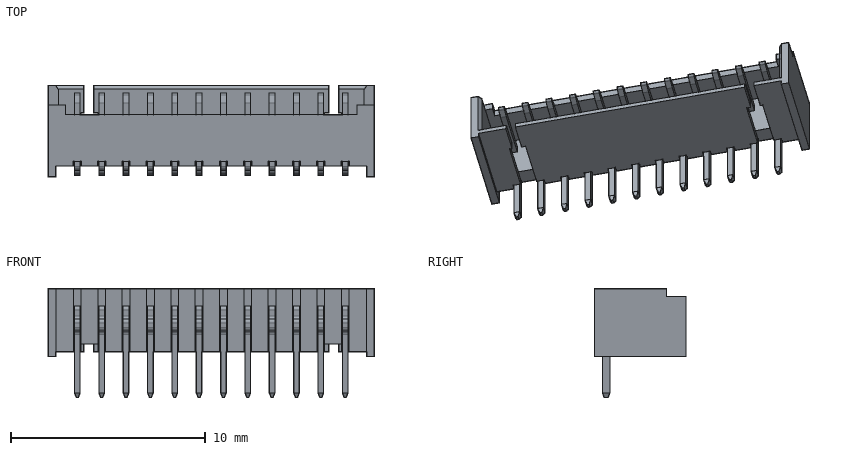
import cadquery as cq

LENGTH = 16.75
DEPTH = 4.7
HEIGHT = 3.5
OVERALL_HEIGHT = 5.6
PLATE_THICKNESS = 0.4
REAR_FACE_Y = 0.55
REAR_WALL = 0.75
FLOOR_BOTTOM = 0.25
FLOOR_THICKNESS = 0.4
FLOOR_TOP = FLOOR_BOTTOM + FLOOR_THICKNESS
ROOF_THICKNESS = 0.4
ROOF_BOTTOM = HEIGHT - ROOF_THICKNESS
SIDE_WALL = 0.525
CAVITY_LENGTH = LENGTH - 2 * SIDE_WALL

ROOF_END_SETBACK = 1.0
ROOF_MIDDLE_SETBACK = 1.5
ROOF_TAB_WIDTH = 0.9

LEAD_IN_DEPTH = 0.2
LEAD_IN_RISE = 0.15

PIN_COUNT = 12
PITCH = 1.25
PIN_WIDTH = 0.3
PIN_THICKNESS = 0.4
PIN_SPAN = (PIN_COUNT - 1) * PITCH
SLOT_WIDTH = 0.4
SLOT_DEPTH = 0.25
SLOT_BACK_Y = REAR_FACE_Y + SLOT_DEPTH

KEYWAY_WIDTH = 0.5
KEYWAY_OUTWARD_SHIFT = 0.04
RELIEF_X = (PIN_SPAN - PITCH) / 2
RELIEF_WIDTH = PITCH - SLOT_WIDTH
KEYWAY_X = RELIEF_X + KEYWAY_OUTWARD_SHIFT
KEYWAY_LENGTH = 1.42
RELIEF_END_Y = DEPTH - KEYWAY_LENGTH

PIN_TOP = 2.6
PIN_BOTTOM = HEIGHT - OVERALL_HEIGHT
LEG_BACK_Y = SLOT_BACK_Y
LEG_FRONT_Y = LEG_BACK_Y - PIN_THICKNESS
BEND_FRONT_Y = 0.34
BEND_RADIUS = 0.2
KINK_TOP = 2.08
KINK_HOLLOW_RADIUS = 0.14
KINK_FRONT_Y = 0.08
KINK_FLAT = 0.25
KINK_SHOULDER_HEIGHT = 0.2
KINK_RETURN_HEIGHT = 0.36
FOOT_TAPER = 0.25
FOOT_CHAMFER = 0.1
TIP_SETBACK = 0.4
TIP_Y = DEPTH - TIP_SETBACK
TIP_TAPER_LENGTH = 0.4
TIP_TAPER_DROP = 0.1
TIP_RADIUS = PIN_THICKNESS / 2 - TIP_TAPER_DROP


def box(x_range, y_range, z_range):
    """Axis-aligned box between the given limits."""
    x0, x1 = x_range
    y0, y1 = y_range
    z0, z1 = z_range
    return cq.Workplane("XY").box(x1 - x0, y1 - y0, z1 - z0, centered=False).translate((x0, y0, z0))


def centred_box(x_centre, width, y_range, z_range):
    """Axis-aligned box of the given X width about x_centre."""
    return box((x_centre - width / 2, x_centre + width / 2), y_range, z_range)


def mouth_lead_in():
    """Flared rim of the cavity mouth, widest at the open face; runs up past the roof."""
    return (
        cq.Workplane("XZ", origin=(0, DEPTH, 0))
        .center(0, (FLOOR_TOP + HEIGHT) / 2)
        .rect(CAVITY_LENGTH + 2 * LEAD_IN_RISE, HEIGHT - FLOOR_TOP + 2 * LEAD_IN_RISE)
        .workplane(offset=LEAD_IN_DEPTH)
        .rect(CAVITY_LENGTH, HEIGHT - FLOOR_TOP)
        .loft(ruled=True)
    )


def housing():
    """Shrouded shell open toward +Y, without the contact slots."""
    half = LENGTH / 2
    shell = centred_box(0, LENGTH, (REAR_FACE_Y, DEPTH), (FLOOR_BOTTOM, HEIGHT))
    for x0, x1 in ((-half, PLATE_THICKNESS - half), (half - PLATE_THICKNESS, half)):
        shell = shell.union(box((x0, x1), (0, DEPTH), (0, HEIGHT)))
    cavity_y = (REAR_FACE_Y + REAR_WALL, DEPTH)
    shell = shell.cut(centred_box(0, CAVITY_LENGTH, cavity_y, (FLOOR_TOP, ROOF_BOTTOM)))
    roof_z = (ROOF_BOTTOM, HEIGHT)
    middle_length = LENGTH - 2 * ROOF_TAB_WIDTH
    shell = shell.cut(centred_box(0, LENGTH, (DEPTH - ROOF_END_SETBACK, DEPTH), roof_z))
    shell = shell.cut(centred_box(0, middle_length, (DEPTH - ROOF_MIDDLE_SETBACK, DEPTH), roof_z))
    return shell.cut(mouth_lead_in())


def cut_keyways(body):
    """Floor slot open to the mouth, with a wider relief behind it reaching the rear face."""
    floor_z = (FLOOR_BOTTOM, FLOOR_TOP)
    for side in (-1, 1):
        body = body.cut(centred_box(side * KEYWAY_X, KEYWAY_WIDTH, (RELIEF_END_Y, DEPTH), floor_z))
        body = body.cut(centred_box(side * RELIEF_X, RELIEF_WIDTH, (REAR_FACE_Y, RELIEF_END_Y), floor_z))
    return body


def contact():
    """Right-angle contact centred on X = 0, with a kinked leg and tapered ends."""
    foot_top = PIN_BOTTOM + FOOT_TAPER
    bar_bottom = PIN_TOP - PIN_THICKNESS
    tip_top = PIN_TOP - TIP_TAPER_DROP
    tip_bottom = bar_bottom + TIP_TAPER_DROP
    round_start_y = TIP_Y - TIP_RADIUS
    taper_start_y = round_start_y - TIP_TAPER_LENGTH

    outline = (
        cq.Workplane("YZ", origin=(-PIN_WIDTH / 2, 0, 0))
        .moveTo(LEG_BACK_Y, foot_top)
        .lineTo(LEG_BACK_Y, bar_bottom)
        .lineTo(taper_start_y, bar_bottom)
        .lineTo(round_start_y, tip_bottom)
        .threePointArc((TIP_Y, (tip_bottom + tip_top) / 2), (round_start_y, tip_top))
        .lineTo(taper_start_y, PIN_TOP)
        .lineTo(BEND_FRONT_Y + BEND_RADIUS, PIN_TOP)
        .radiusArc((BEND_FRONT_Y, PIN_TOP - BEND_RADIUS), -BEND_RADIUS)
        .lineTo(BEND_FRONT_Y, KINK_TOP)
    )
    crease_y = BEND_FRONT_Y - KINK_HOLLOW_RADIUS
    crease_z = KINK_TOP - KINK_HOLLOW_RADIUS
    crease_step = crease_y - KINK_FRONT_Y
    shoulder_radius = (crease_step**2 + KINK_SHOULDER_HEIGHT**2) / (2 * crease_step)
    shoulder_z = crease_z - KINK_SHOULDER_HEIGHT
    outline = (
        outline.radiusArc((crease_y, crease_z), KINK_HOLLOW_RADIUS)
        .radiusArc((KINK_FRONT_Y, shoulder_z), -shoulder_radius)
        .line(0, -KINK_FLAT)
    )
    return_step = ((LEG_FRONT_Y - KINK_FRONT_Y) / 2, -KINK_RETURN_HEIGHT / 2)
    for _ in range(2):
        outline = outline.tangentArcPoint(return_step, relative=True)
    body = outline.lineTo(LEG_FRONT_Y, foot_top).close().extrude(PIN_WIDTH)

    foot = (
        cq.Workplane("XY", origin=(0, (LEG_BACK_Y + LEG_FRONT_Y) / 2, PIN_BOTTOM))
        .rect(PIN_WIDTH - 2 * FOOT_CHAMFER, PIN_THICKNESS - 2 * FOOT_CHAMFER)
        .workplane(offset=FOOT_TAPER)
        .rect(PIN_WIDTH, PIN_THICKNESS)
        .loft(ruled=True)
    )
    return body.union(foot)


def build():
    body = cut_keyways(housing())
    pin = contact()
    for index in range(PIN_COUNT):
        x = index * PITCH - PIN_SPAN / 2
        body = body.cut(centred_box(x, SLOT_WIDTH, (REAR_FACE_Y, SLOT_BACK_Y), (FLOOR_BOTTOM, HEIGHT)))
        body = body.union(pin.translate((x, 0, 0)))
    return body


result = build()